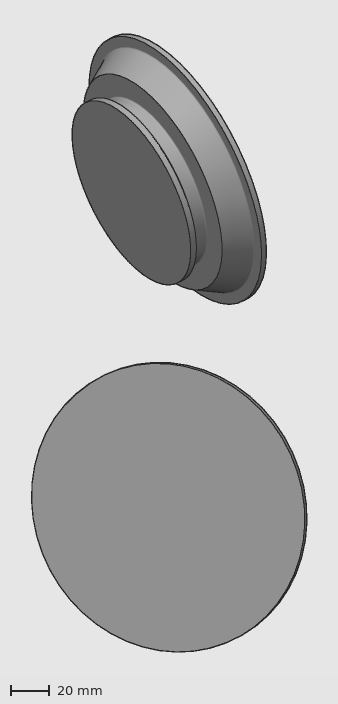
import cadquery as cq

flange_radius = 76.2
cone_root_radius = 69.6
cone_end_radius = 61.4
neck_radius = 47.7
lip_radius = 52.5

total_depth = 31.2
flange_thickness = 3.2
cone_length = 14.5
neck_length = 8.1
lip_bevel_length = 1.8

cone_root_fillet = 0.9
neck_root_fillet = 0.9

cone_root_y = -flange_thickness
cone_end_y = cone_root_y - cone_length
neck_end_y = cone_end_y - neck_length
rim_start_y = neck_end_y - lip_bevel_length

half_section = [
    (0, 0),
    (0, flange_radius),
    (cone_root_y, flange_radius),
    (cone_root_y, cone_root_radius),
    (cone_end_y, cone_end_radius),
    (cone_end_y, neck_radius),
    (neck_end_y, neck_radius),
    (rim_start_y, lip_radius),
    (-total_depth, lip_radius),
    (-total_depth, 0),
]
body = cq.Workplane("YZ").polyline(half_section).close().revolve(360, (0, 0, 0), (1, 0, 0))

neck_root = body.edges("%CIRCLE").edges(cq.selectors.RadiusNthSelector(0)).edges(">Y")
body = neck_root.fillet(neck_root_fillet)

cone_root = body.edges("%CIRCLE").edges(cq.selectors.RadiusNthSelector(-2))
body = cone_root.fillet(cone_root_fillet)

result = body